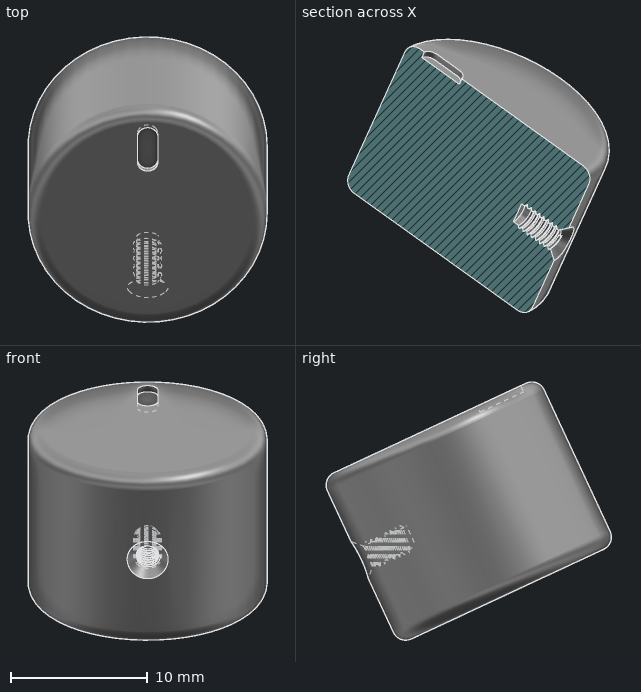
import cadquery as cq

body_diameter = 17.5
body_height = 13.42
edge_radius = 1.0
tilt_angle = 25

slot_length = 3.5
slot_width = 1.5
slot_depth = 0.5
slot_rim_gap = 0.44

countersink_diameter = 3.0
minor_diameter = 1.63
major_diameter = 2.07
thread_pitch = 0.4
groove_width = 0.31
hole_depth = 4.17
hole_offset = 0.13
thread_overlap = 0.05

body_radius = body_diameter / 2
hole_height = body_height / 2 + hole_offset
minor_radius = minor_diameter / 2
thread_depth = (major_diameter - minor_diameter) / 2
countersink_radius = countersink_diameter / 2
countersink_depth = countersink_radius - minor_radius


def make_body():
    body = cq.Workplane("XY").circle(body_radius).extrude(body_height)
    return body.edges("%CIRCLE").fillet(edge_radius)


def make_pointer_slot():
    slot_center = body_radius - edge_radius - slot_rim_gap - slot_length / 2
    return (
        cq.Workplane("XY", origin=(0, slot_center, body_height - slot_depth))
        .slot2D(slot_length, slot_width, angle=90)
        .extrude(slot_depth)
    )


def make_bore():
    """Return the plain bore, opening at z = 0 and running along +Z."""
    return cq.Workplane("XY").circle(minor_radius).extrude(hole_depth)


def countersink_bore(knob):
    """Chamfer the bore mouth so that the countersink follows the curved side."""
    mouth = cq.selectors.BoxSelector(
        (-countersink_radius, -body_radius - countersink_depth, hole_height - countersink_radius),
        (countersink_radius, -body_radius + countersink_depth, hole_height + countersink_radius),
        boundingbox=True,
    )
    return knob.edges(mouth).chamfer(countersink_depth)


def make_thread():
    """Return the helical V-groove cut into the bore wall."""
    start = countersink_depth
    length = hole_depth - start - thread_pitch
    half_width = groove_width / 2
    root = minor_radius - thread_overlap
    helix = cq.Wire.makeHelix(thread_pitch, length, root, center=cq.Vector(0, 0, start))
    profile = [
        (root, start - half_width),
        (root + thread_overlap + thread_depth, start),
        (root, start + half_width),
    ]
    return cq.Workplane("XZ").polyline(profile).close().sweep(cq.Workplane(helix), isFrenet=True)


def place_in_side(tool):
    """Turn a tool from +Z to +Y and set its mouth on the -Y side of the knob."""
    return tool.rotate((0, 0, 0), (1, 0, 0), -90).translate((0, -body_radius, hole_height))


knob = make_body().cut(make_pointer_slot())
knob = knob.cut(place_in_side(make_bore()))
knob = countersink_bore(knob)
knob = knob.cut(place_in_side(make_thread()))

result = knob.rotate((0, 0, 0), (1, 0, 0), tilt_angle)